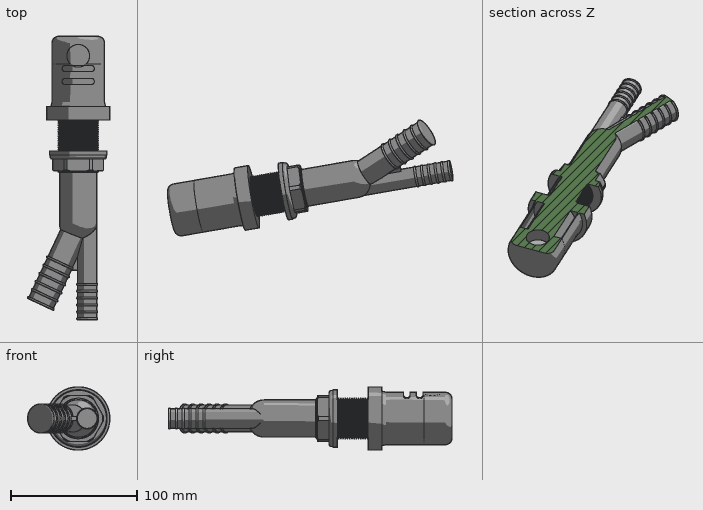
import cadquery as cq
import math


CAP_RADIUS = 20.9
CAP_LENGTH = 66.6
CAP_TOP_FILLET = 5.6
FLANGE_RADIUS = 25.145
FLANGE_THICKNESS = 11.0
FLARE_RADIUS = 21.6
FLARE_HEIGHT = 3.3
FLARE_RIM = 0.5

SLOT_LENGTH = 25.5
SLOT_WIDTH = 5.0
SLOT_CENTERS_Y = (30.7, 40.9)

CAP_WALL = 0.8
INNER_PIPE_RADIUS = 15.2
CHAMBER_TOP_Y = 44.4

PORT_RADIUS = 9.0
PORT_EDGE_Y = 42.0
PORT_FLOOR_Z = 0.0

THREAD_CREST_RADIUS = 16.1
THREAD_ROOT_RADIUS = 14.9
THREAD_PITCH = 1.75
THREAD_CREST_WIDTH = THREAD_PITCH / 8
THREAD_ROOT_WIDTH = THREAD_PITCH / 4
THREAD_END_Y = -41.6

WASHER_TOP_Y = -24.2
WASHER_RADIUS = 22.9
WASHER_THICKNESS = 3.4
WASHER_LIP_RADIUS = 22.3
WASHER_LIP_THICKNESS = 3.3
WASHER_LIP_FILLET = 2.0

NUT_ACROSS_FLATS = 36.4
NUT_CORNER_RADIUS = 20.2
NUT_BOTTOM_Y = -40.2
NUT_CHAMFER = 0.9

BODY_RADIUS = 14.85
BODY_SHOULDER_Y = -82.0
BODY_END_FILLET = 13.0

SMALL_TUBE_RADIUS = 7.8
SMALL_TUBE_X = BODY_RADIUS - SMALL_TUBE_RADIUS
SMALL_TUBE_END_Y = -158.1
SMALL_BARB_RADIUS = 8.3
SMALL_BARB_SPACING = 5.45

LARGE_TUBE_RADIUS = 10.7
LARGE_TUBE_TILT = 25.12
LARGE_TUBE_LENGTH = 70.6
LARGE_BARB_RADIUS = 11.6
LARGE_BARB_SPACING = 7.11

BARB_COUNT = 6
BARB_WIDTH = 1.7

WEB_THICKNESS = 3.4
WEB_BOTTOM_Y = -119.0


def rod(radius, start_y, end_y):
    """Cylinder on the main axis from start_y down to end_y."""
    return (
        cq.Workplane("XZ", origin=(0, start_y, 0))
        .circle(radius)
        .extrude(start_y - end_y)
    )


def make_cap():
    """Domed cap with its flared foot and flange, turned about the main axis."""
    fillet_center_y = CAP_LENGTH - CAP_TOP_FILLET
    fillet_center_x = CAP_RADIUS - CAP_TOP_FILLET
    diagonal = CAP_TOP_FILLET * math.sqrt(0.5)
    return (
        cq.Workplane("XY")
        .moveTo(0, 0)
        .lineTo(FLANGE_RADIUS, 0)
        .lineTo(FLANGE_RADIUS, FLANGE_THICKNESS)
        .lineTo(FLARE_RADIUS, FLANGE_THICKNESS)
        .lineTo(FLARE_RADIUS, FLANGE_THICKNESS + FLARE_RIM)
        .lineTo(CAP_RADIUS, FLANGE_THICKNESS + FLARE_HEIGHT)
        .lineTo(CAP_RADIUS, fillet_center_y)
        .threePointArc(
            (fillet_center_x + diagonal, fillet_center_y + diagonal),
            (fillet_center_x, CAP_LENGTH),
        )
        .lineTo(0, CAP_LENGTH)
        .close()
        .revolve(360, (0, 0, 0), (0, 1, 0))
    )


def make_slots():
    """Vent slots that reach through the cap wall into the air chamber."""
    slots = (
        cq.Workplane("XY")
        .pushPoints([(0, y) for y in SLOT_CENTERS_Y])
        .slot2D(SLOT_LENGTH, SLOT_WIDTH)
        .extrude(FLANGE_RADIUS)
    )
    return slots.cut(rod(INNER_PIPE_RADIUS, CAP_LENGTH, 0))


def make_air_chamber():
    """Ring-shaped chamber between the cap wall and the inner pipe."""
    bore_radius = CAP_RADIUS - CAP_WALL
    bore = rod(bore_radius, CHAMBER_TOP_Y, FLANGE_THICKNESS)
    return bore.cut(rod(INNER_PIPE_RADIUS, CHAMBER_TOP_Y, FLANGE_THICKNESS))


def make_crown_port():
    """Round recess in the crown of the inner pipe, below the cap wall."""
    recess = (
        cq.Workplane("XY", origin=(0, PORT_EDGE_Y + PORT_RADIUS, PORT_FLOOR_Z))
        .circle(PORT_RADIUS)
        .extrude(FLANGE_RADIUS)
    )
    return recess.intersect(rod(CAP_RADIUS - CAP_WALL, CAP_LENGTH, 0))


def make_shank():
    """Threaded shank: ring-shaped threads, the first one starting inside the flange."""
    flank = (THREAD_PITCH - THREAD_CREST_WIDTH - THREAD_ROOT_WIDTH) / 2
    thread_count = math.ceil(-THREAD_END_Y / THREAD_PITCH)
    top_y = THREAD_END_Y + thread_count * THREAD_PITCH
    profile = cq.Workplane("XY").moveTo(0, top_y).lineTo(THREAD_ROOT_RADIUS, top_y)
    for index in range(thread_count):
        ridge_y = top_y - index * THREAD_PITCH - THREAD_ROOT_WIDTH / 2
        profile = (
            profile
            .lineTo(THREAD_ROOT_RADIUS, ridge_y)
            .lineTo(THREAD_CREST_RADIUS, ridge_y - flank)
            .lineTo(THREAD_CREST_RADIUS, ridge_y - flank - THREAD_CREST_WIDTH)
            .lineTo(THREAD_ROOT_RADIUS, ridge_y - 2 * flank - THREAD_CREST_WIDTH)
        )
    return (
        profile
        .lineTo(THREAD_ROOT_RADIUS, THREAD_END_Y)
        .lineTo(0, THREAD_END_Y)
        .close()
        .revolve(360, (0, 0, 0), (0, 1, 0))
    )


def make_washer():
    """Two-step washer with a rounded lower rim."""
    lip_top_y = WASHER_TOP_Y - WASHER_THICKNESS
    lip = (
        rod(WASHER_LIP_RADIUS, lip_top_y, lip_top_y - WASHER_LIP_THICKNESS)
        .faces("<Y")
        .edges()
        .fillet(WASHER_LIP_FILLET)
    )
    return rod(WASHER_RADIUS, WASHER_TOP_Y, lip_top_y).union(lip)


def make_nut():
    """Hexagonal nut with flats facing +Z and -Z."""
    top_y = WASHER_TOP_Y - WASHER_THICKNESS - WASHER_LIP_THICKNESS
    across_corners = NUT_ACROSS_FLATS / math.cos(math.pi / 6)
    hexagon = (
        cq.Workplane("XZ", origin=(0, top_y, 0))
        .polygon(6, across_corners)
        .extrude(top_y - NUT_BOTTOM_Y)
    )
    turned = rod(NUT_CORNER_RADIUS, top_y, NUT_BOTTOM_Y).faces("<Y").edges().chamfer(NUT_CHAMFER)
    return hexagon.intersect(turned)


def make_body():
    """Plain cylindrical body with a rounded lower end."""
    return (
        rod(BODY_RADIUS, THREAD_END_Y, BODY_SHOULDER_Y - BODY_END_FILLET)
        .faces("<Y")
        .edges()
        .fillet(BODY_END_FILLET)
    )


def make_barbed_tube(radius, barb_radius, length, spacing):
    """Solid tube from the origin along -Y, with rounded barbs up to its end."""
    profile = cq.Workplane("XY").lineTo(radius, 0)
    for index in reversed(range(BARB_COUNT)):
        barb_end = -length + index * spacing
        profile = (
            profile
            .lineTo(radius, barb_end + BARB_WIDTH)
            .threePointArc((barb_radius, barb_end + BARB_WIDTH / 2), (radius, barb_end))
        )
    return profile.lineTo(0, -length).close().revolve(360, (0, 0, 0), (0, 1, 0))


def make_small_tube():
    """Straight hose connection beside the main axis."""
    length = BODY_SHOULDER_Y - SMALL_TUBE_END_Y
    tube = make_barbed_tube(SMALL_TUBE_RADIUS, SMALL_BARB_RADIUS, length, SMALL_BARB_SPACING)
    return tube.translate((SMALL_TUBE_X, BODY_SHOULDER_Y, 0))


def make_large_tube():
    """Tilted hose connection, starting on the main axis at the body shoulder."""
    tube = make_barbed_tube(
        LARGE_TUBE_RADIUS, LARGE_BARB_RADIUS, LARGE_TUBE_LENGTH, LARGE_BARB_SPACING
    )
    return (
        tube
        .rotate((0, 0, 0), (0, 0, 1), -LARGE_TUBE_TILT)
        .translate((0, BODY_SHOULDER_Y, 0))
    )


def make_web():
    """Flat web that fills the fork between the axes of the two tubes."""
    web_drop = BODY_SHOULDER_Y - WEB_BOTTOM_Y
    large_axis_x = -web_drop * math.tan(math.radians(LARGE_TUBE_TILT))
    return (
        cq.Workplane("XY", origin=(0, 0, -WEB_THICKNESS / 2))
        .polyline([
            (0, BODY_SHOULDER_Y),
            (SMALL_TUBE_X, BODY_SHOULDER_Y),
            (SMALL_TUBE_X, WEB_BOTTOM_Y),
            (large_axis_x, WEB_BOTTOM_Y),
        ])
        .close()
        .extrude(WEB_THICKNESS)
    )


result = (
    make_cap()
    .cut(make_slots())
    .cut(make_air_chamber())
    .cut(make_crown_port())
    .union(make_shank())
    .union(make_washer())
    .union(make_nut())
    .union(make_body())
    .union(make_small_tube())
    .union(make_large_tube())
    .union(make_web())
)